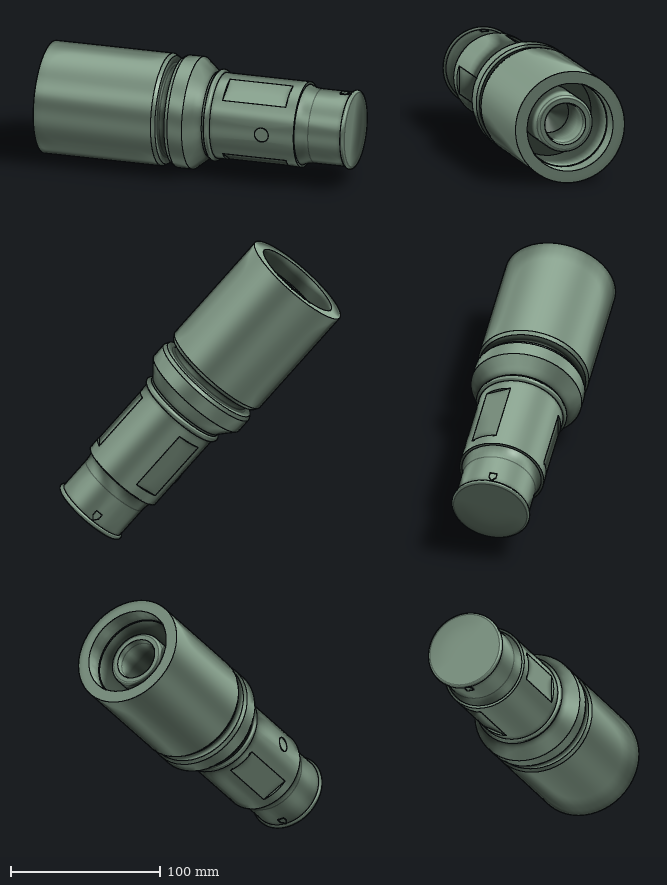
import math
import cadquery as cq

length = 214.88
body_radius = 38.1

body_end = 85.2
groove_end = 91.6
groove_radius = 30.9
groove_fillet = 1.2
rim_chamfer_length = 2.6
rim_chamfer_drop = 1.5
collar_end = 104.4
cone_end = 115.4

sleeve_radius = 29.0
sleeve_end = 180.1
bead_position = 119.0
bead_section_radius = 2.1

shoulder_radius = 27.2
neck_radius = 25.2
neck_start = 189.1
end_bead_section_radius = 1.6

socket_mouth_radius = 30.0
socket_taper_end_radius = 29.4
socket_step_position = 12.0
socket_step_length = 0.8
socket_inner_radius = 29.1
socket_depth = 50.0
spigot_radius = 19.2
spigot_start = 11.5
spigot_fillet = 1.8
bore_radius = 13.4
bore_mouth_radius = 14.3
bore_mouth_length = 3.8
bore_depth = 50.0
drill_point_angle = 118.0

flat_count = 3
flat_distance = 27.3
flat_start = 128.2
flat_end = 172.5
flat_width = 19.0

pad_position = 157.7
pad_radius = 4.9
pad_height = 0.1

arrow_start = 204.4
arrow_shoulder = 208.2
arrow_tip = 211.3
arrow_half_width = 2.4
arrow_height = 0.5


def revolve_about_x(profile):
    """Close a profile along the X axis and turn it into a solid."""
    return profile.close().revolve(360, (0, 0, 0), (1, 0, 0))


def make_outer_body():
    """Turned solid bounded by the outer profile, including both beads."""
    rim_radius = body_radius - rim_chamfer_drop
    groove_wall_foot = groove_radius + groove_fillet
    fillet_inset = groove_fillet * (1 - math.sqrt(0.5))
    shoulder_length = neck_start - sleeve_end
    shoulder_drop = shoulder_radius - neck_radius
    shoulder_arc_radius = (shoulder_length**2 + shoulder_drop**2) / (2 * shoulder_drop)
    half_length = shoulder_length / 2
    shoulder_mid_rise = shoulder_arc_radius - math.sqrt(shoulder_arc_radius**2 - half_length**2)
    profile = (
        cq.Workplane("XY")
        .lineTo(0, body_radius)
        .lineTo(body_end - rim_chamfer_length, body_radius)
        .lineTo(body_end, rim_radius)
        .lineTo(body_end, groove_wall_foot)
        .threePointArc(
            (body_end + fillet_inset, groove_radius + fillet_inset),
            (body_end + groove_fillet, groove_radius),
        )
        .lineTo(groove_end - groove_fillet, groove_radius)
        .threePointArc(
            (groove_end - fillet_inset, groove_radius + fillet_inset),
            (groove_end, groove_wall_foot),
        )
        .lineTo(groove_end, rim_radius)
        .lineTo(groove_end + rim_chamfer_length, body_radius)
        .lineTo(collar_end, body_radius)
        .lineTo(cone_end, sleeve_radius)
        .lineTo(bead_position - bead_section_radius, sleeve_radius)
        .threePointArc(
            (bead_position, sleeve_radius + bead_section_radius),
            (bead_position + bead_section_radius, sleeve_radius),
        )
        .lineTo(sleeve_end, sleeve_radius)
        .lineTo(sleeve_end, shoulder_radius)
        .threePointArc(
            (neck_start - half_length, neck_radius + shoulder_mid_rise),
            (neck_start, neck_radius),
        )
        .lineTo(length - 2 * end_bead_section_radius, neck_radius)
        .threePointArc(
            (length - end_bead_section_radius, neck_radius + end_bead_section_radius),
            (length, neck_radius),
        )
        .lineTo(length, 0)
    )
    return revolve_about_x(profile)


def make_socket():
    """Annular cavity, tapering in from its mouth, between the body wall and the spigot."""
    fillet_inset = spigot_fillet * (1 - math.sqrt(0.5))
    step_end = socket_step_position + socket_step_length
    profile = (
        cq.Workplane("XY")
        .lineTo(0, socket_mouth_radius)
        .lineTo(socket_step_position, socket_taper_end_radius)
        .lineTo(step_end, socket_inner_radius)
        .lineTo(socket_depth, socket_inner_radius)
        .lineTo(socket_depth, spigot_radius)
        .lineTo(spigot_start + spigot_fillet, spigot_radius)
        .threePointArc(
            (spigot_start + fillet_inset, spigot_radius - fillet_inset),
            (spigot_start, spigot_radius - spigot_fillet),
        )
        .lineTo(spigot_start, 0)
    )
    return revolve_about_x(profile)


def make_bore():
    """Blind spigot bore with a chamfered mouth and a drill-point bottom."""
    point_length = bore_radius / math.tan(math.radians(drill_point_angle / 2))
    profile = (
        cq.Workplane("XY")
        .moveTo(spigot_start, 0)
        .lineTo(spigot_start, bore_mouth_radius)
        .lineTo(spigot_start + bore_mouth_length, bore_radius)
        .lineTo(bore_depth, bore_radius)
        .lineTo(bore_depth + point_length, 0)
    )
    return revolve_about_x(profile)


def make_flat_cutter(angle):
    """Block that sinks one flat recess into the sleeve, its normal turned from +Y about X."""
    depth = sleeve_radius - flat_distance
    block = cq.Workplane("XY").box(
        flat_end - flat_start, depth, flat_width, centered=(False, False, True)
    )
    return block.translate((flat_start, flat_distance, 0)).rotate((0, 0, 0), (1, 0, 0), angle)


def make_pad():
    """Round pad standing slightly proud of the sleeve on the -Y side."""
    return (
        cq.Workplane("XZ")
        .center(pad_position, 0)
        .circle(pad_radius)
        .extrude(sleeve_radius + pad_height)
    )


def make_arrow_pair():
    """Raised arrows pointing to +X on the top and the underside of the neck."""
    arrow_radius = neck_radius + arrow_height
    return (
        cq.Workplane("XY")
        .moveTo(arrow_start, -arrow_half_width)
        .lineTo(arrow_shoulder, -arrow_half_width)
        .lineTo(arrow_tip, 0)
        .lineTo(arrow_shoulder, arrow_half_width)
        .lineTo(arrow_start, arrow_half_width)
        .close()
        .extrude(arrow_radius, both=True)
    )


part = make_outer_body()
for index in range(flat_count):
    part = part.cut(make_flat_cutter(index * 360 / flat_count))
part = part.union(make_pad())
part = part.union(make_arrow_pair())
part = part.cut(make_socket())
result = part.cut(make_bore())